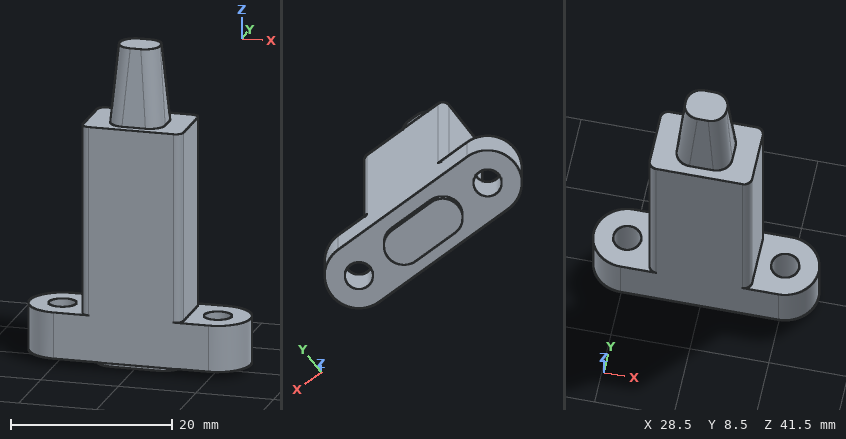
import cadquery as cq
import math

flange_length = 28.5
body_depth = 8.5
flange_height = 6.0
hole_diameter = 3.5
hole_spacing = flange_length - body_depth

block_width = 13.0
block_corner_radius = 1.0

neck_width = 7.0
neck_depth = 6.0
neck_height = 10.0
neck_corner_radius = 2.0
neck_tip_corner_radius = 1.95
neck_draft_angle = 5.0

insert_length = 11.0
insert_depth = 5.0
insert_height = 1.0

total_height = 41.5
neck_top_z = total_height - insert_height
block_top_z = neck_top_z - neck_height


def rounded_rectangle(width, depth, radius):
    return cq.Sketch().rect(width, depth).vertices().fillet(radius)


def make_flange():
    plate = cq.Workplane("XY").slot2D(flange_length, body_depth).extrude(flange_height)
    hole_centers = [(-hole_spacing / 2, 0), (hole_spacing / 2, 0)]
    return plate.faces(">Z").workplane().pushPoints(hole_centers).hole(hole_diameter)


def make_block():
    outline = rounded_rectangle(block_width, body_depth, block_corner_radius)
    block_height = block_top_z - flange_height
    return cq.Workplane("XY").workplane(offset=flange_height).placeSketch(outline).extrude(block_height)


def make_neck():
    narrowing = 2 * neck_height * math.tan(math.radians(neck_draft_angle))
    base = rounded_rectangle(neck_width, neck_depth, neck_corner_radius)
    tip = rounded_rectangle(neck_width - narrowing, neck_depth - narrowing, neck_tip_corner_radius)
    tip = tip.moved(cq.Location(cq.Vector(0, 0, neck_height)))
    return cq.Workplane("XY").workplane(offset=block_top_z).placeSketch(base, tip).loft()


def make_housing():
    return make_flange().union(make_block()).union(make_neck())


def make_insert():
    return cq.Workplane("XY").slot2D(insert_length, insert_depth).extrude(-insert_height)


housing = make_housing()
insert = make_insert()

result = cq.Compound.makeCompound([housing.val(), insert.val()])